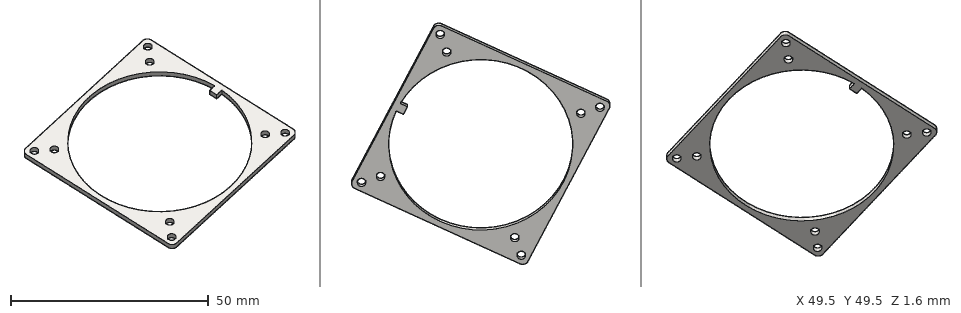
import cadquery as cq

side = 49.5
thickness = 1.6
corner_radius = 1.5

opening_diameter = 46.5
key_width = 2.35
key_tip_y = 21.2

hole_diameter = 2.2
outer_hole_spacing = 45.0
inner_hole_spacing = 37.85


def make_plate():
    """Square plate with rounded corners, resting on Z = 0."""
    plate = cq.Workplane("XY").rect(side, side).extrude(thickness)
    return plate.edges("|Z").fillet(corner_radius)


def make_opening():
    """Round cutter for the opening, notched so that the key is left standing."""
    disc = cq.Workplane("XY").circle(opening_diameter / 2).extrude(thickness)
    key_length = side / 2 - key_tip_y
    key = (
        cq.Workplane("XY")
        .center(0, key_tip_y + key_length / 2)
        .rect(key_width, key_length)
        .extrude(thickness)
    )
    return disc.cut(key)


def make_hole_pattern(spacing):
    """Four hole cutters at the corners of a centred square."""
    return (
        cq.Workplane("XY")
        .rect(spacing, spacing, forConstruction=True)
        .vertices()
        .circle(hole_diameter / 2)
        .extrude(thickness)
    )


result = make_plate().cut(make_opening())
for hole_spacing in (outer_hole_spacing, inner_hole_spacing):
    result = result.cut(make_hole_pattern(hole_spacing))